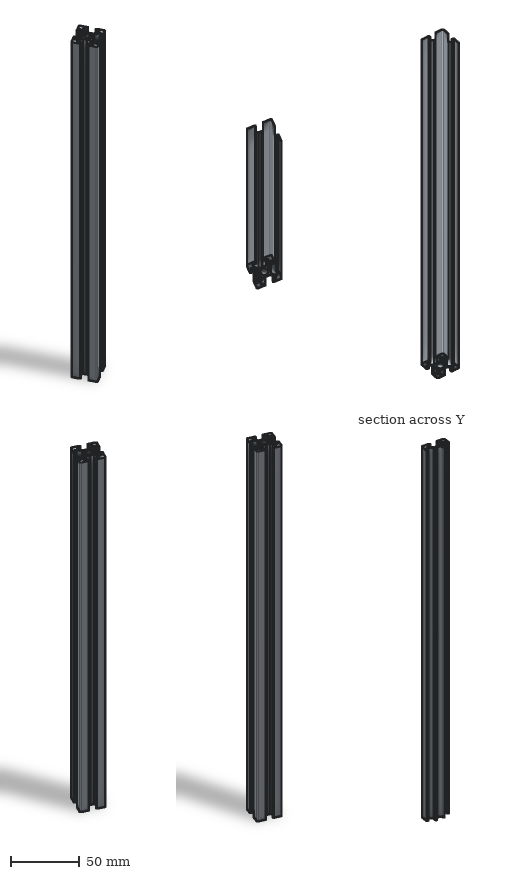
import cadquery as cq
import math

SIDE = 20.0
LENGTH = 320.0
CORNER_RADIUS = 1.0

BORE_DIAMETER = 5.5

SLOT_OPENING = 6.0
SLOT_INNER_WIDTH = 12.0
SLOT_DEPTH = 6.0
LIP_THICKNESS = 1.8
LIP_CHAMFER = 0.25

WEB_THICKNESS = 1.5

GROOVE_WIDTH = 0.6
GROOVE_DEPTH = 0.3


def make_blank():
    """Square bar with rounded long edges."""
    return cq.Workplane("XY").rect(SIDE, SIDE).extrude(LENGTH).edges("|Z").fillet(CORNER_RADIUS)


def make_bore():
    """Cylinder of the centre bore, as long as the bar."""
    return cq.Workplane("XY").circle(BORE_DIAMETER / 2).extrude(LENGTH)


def make_slot():
    """Prism of one T-slot, open towards +Y."""
    face = SIDE / 2
    floor = face - SLOT_DEPTH
    lip_underside = face - LIP_THICKNESS
    half_opening = SLOT_OPENING / 2
    half_inner = SLOT_INNER_WIDTH / 2

    flank_shift = WEB_THICKNESS / math.sqrt(2)

    right_side = [
        (GROOVE_WIDTH / 2, floor),
        (floor - flank_shift, floor),
        (half_inner, half_inner + flank_shift),
        (half_inner, lip_underside),
        (half_opening, lip_underside),
        (half_opening, face - LIP_CHAMFER),
        (half_opening + LIP_CHAMFER, face),
    ]
    left_side = [(-x, y) for x, y in reversed(right_side)]
    groove_bottom = (0, floor - GROOVE_DEPTH)
    outline = [groove_bottom] + right_side + left_side
    return cq.Workplane("XY").polyline(outline).close().extrude(LENGTH)


def make_bar():
    """Blank with the bore and a T-slot cut into each of its four sides."""
    bar = make_blank().cut(make_bore())
    slot = make_slot()
    for side_angle in (0, 90, 180, 270):
        bar = bar.cut(slot.rotate((0, 0, 0), (0, 0, 1), side_angle))
    return bar


result = make_bar()